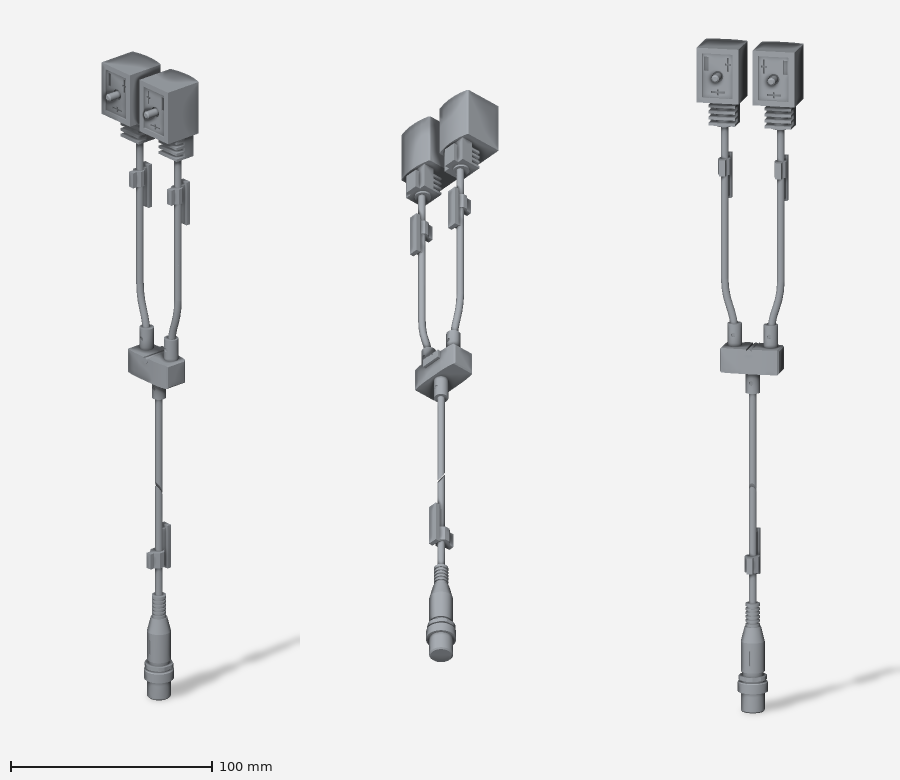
import cadquery as cq
import math

TOTAL_HEIGHT = 340.5
CABLE_DIAMETER = 3.7
CABLE_RADIUS = CABLE_DIAMETER / 2

PLUG_X = 14.3
PLUG_WIDTH = 21.5
PLUG_HEIGHT = 28.0
PLUG_FRONT_Y = -16.0
PLUG_CORNER_Y = 4.5
PLUG_CROWN_Y = 6.0
PLUG_EDGE_FILLET = 1.0
PLUG_BOTTOM_Z = TOTAL_HEIGHT - PLUG_HEIGHT
PLUG_CENTRE_Z = TOTAL_HEIGHT - PLUG_HEIGHT / 2
FRAME_WIDTH = 15.3
FRAME_HEIGHT = 22.5
FRAME_DEPTH = 1.0
CONTACT_FACE_Y = PLUG_FRONT_Y + FRAME_DEPTH
CONTACT_LENGTH = 7.0
CONTACT_THICKNESS = 1.0
CONTACT_CROSS = 3.0
CONTACT_DEPTH = 1.0
SIDE_CONTACT_X = 5.0
SIDE_CONTACT_Z = 332.2
SOCKET_X = 5.8
SOCKET_WIDTH = 2.0
EARTH_CONTACT_Z = 318.0
SCREW_Z = 326.0
SCREW_DIAMETER = 3.7
SCREW_TIP_Y = -21.5
SCREW_TIP_CHAMFER = 0.7
SCREW_HOLE_DIAMETER = 5.5

BOOT_WIDTH = 13.5
BOOT_HEIGHT = 13.5
BOOT_BLOCK_FRONT_Y = -1.7
BOOT_CORE_DIAMETER = 8.0
BOOT_CORE_Y = -0.7
BOOT_COLLAR_HEIGHT = 1.0
BOOT_RIB_FRONT_Y = -6.8
BOOT_RIB_THICKNESS = 1.5
BOOT_RIB_COUNT = 4
BOOT_RIB_PITCH = (BOOT_HEIGHT - BOOT_RIB_THICKNESS) / BOOT_RIB_COUNT
BOOT_RIDGE_WIDTH = 6.8
BOOT_RIDGE_HEIGHT = 10.5
BACK_Y = 7.0
BOOT_BOTTOM_Z = PLUG_BOTTOM_Z - BOOT_HEIGHT

SPLITTER_WIDTH = 30.0
SPLITTER_HEIGHT = 12.5
SPLITTER_TOP_Z = 186.2
SPLITTER_BOTTOM_Z = SPLITTER_TOP_Z - SPLITTER_HEIGHT
SPLITTER_FRONT_Y = -9.0
SPLITTER_BACK_Y = 5.5
SPLITTER_FLAT_WIDTH = 11.2
SPLITTER_END_DROP = 1.0
SPLITTER_END_CHAMFER = 0.7
SPLITTER_TAB_HEIGHT = 4.5
ROD_DIAMETER = 3.0
ROD_PROUD = 0.5
BUSHING_DIAMETER = 7.0
BUSHING_HEIGHT = 11.2
BRANCH_X = 9.2
PIP_DIAMETER = 2.2
PIP_DEPTH = 0.7
PIP_OFFSET = 5.8

BEND_TOP_Z = 220.0
BEND_BOTTOM_Z = 191.3

CUT_ANGLE = 60.0
BRANCH_CUT_Z = 241.0
TRUNK_CUT_Z = 112.5
TRUNK_GAP = 1.7

CLIP_PLATE_WIDTH = 5.0
CLIP_PLATE_LENGTH = 23.0
CLIP_PLATE_BACK_Y = 5.8
CLIP_PLATE_FRONT_Y = 3.5
CLIP_WEB_WIDTH = 3.0
CLIP_WEB_INSET = 1.5
CLAMP_HEIGHT = 8.0
CLAMP_TAB_WIDTH = 3.0
BRANCH_CLIP_BOTTOM_Z = 260.0
BRANCH_CLAMP_BOTTOM_Z = 273.0
BRANCH_CLAMP_SIZE = 5.8
BRANCH_CLAMP_Y = -0.7
BRANCH_CLAMP_TAB_Y = -5.8
TRUNK_CLIP_BOTTOM_Z = 69.0
TRUNK_CLAMP_BOTTOM_Z = 71.0
TRUNK_CLAMP_SIZE = 7.0
TRUNK_CLAMP_Y = -1.0
TRUNK_CLAMP_TAB_Y = -6.8

CONNECTOR_DIAMETER = 12.0
CONNECTOR_END_CHAMFER = 0.7
NUT_DIAMETER = 15.0
NUT_BOTTOM_Z = 10.2
NUT_TOP_Z = 15.3
NUT_EDGE_CHAMFER = 0.5
HEX_WIDTH = 13.5
HEX_DIAMETER = 14.3
HEX_BOTTOM_Z = 16.5
HEX_TOP_Z = 18.5
NECK_DIAMETER = 10.5
BODY_BOTTOM_Z = 20.5
BODY_TOP_Z = 35.7
CONE_TOP_Z = 43.2
CONE_TOP_DIAMETER = 8.0
RELIEF_DIAMETER = 7.0
RELIEF_TOP_Z = 55.0
RELIEF_GROOVE_DEPTH = 0.7
RELIEF_GROOVE_WIDTH = 1.0
RELIEF_GROOVE_COUNT = 5
MARK_WIDTH = 1.0
MARK_LENGTH = 7.8
MARK_DEPTH = 0.5
MARK_CENTRE_Z = 28.0


def box(x_range, y_range, z_range):
    """Box spanning the given ranges."""
    size = [high - low for low, high in (x_range, y_range, z_range)]
    corner = (x_range[0], y_range[0], z_range[0])
    return cq.Workplane("XY").box(*size, centered=False).translate(corner)


def upright_cylinder(diameter, bottom, top, x=0.0, y=0.0):
    return cq.Workplane("XY", origin=(x, y, bottom)).circle(diameter / 2).extrude(top - bottom)


def cylinder_along_y(diameter, front, back, x, z):
    return cq.Workplane("XZ", origin=(x, back, z)).circle(diameter / 2).extrude(back - front)


def slanted_half(x, z, side, rise_sign, large=136.0):
    """Block on one side of a slanted plane through (x, 0, z); side is +1 above, -1 below."""
    block = cq.Workplane("XY").box(large, large, large).translate((0, 0, side * large / 2))
    return block.rotate((0, 0, 0), (1, 0, 0), rise_sign * CUT_ANGLE).translate((x, 0, z))


def plug_housing():
    half_width = PLUG_WIDTH / 2
    return (
        cq.Workplane("XY", origin=(0, 0, PLUG_BOTTOM_Z))
        .moveTo(-half_width, PLUG_FRONT_Y)
        .lineTo(half_width, PLUG_FRONT_Y)
        .lineTo(half_width, PLUG_CORNER_Y)
        .threePointArc((0, PLUG_CROWN_Y), (-half_width, PLUG_CORNER_Y))
        .close()
        .extrude(PLUG_HEIGHT)
        .edges("|Z")
        .edges(">Y")
        .fillet(PLUG_EDGE_FILLET)
    )


def face_recess(x, z, width, height, front, depth):
    """Cutter for a rectangular recess going back from the plane y = front."""
    return cq.Workplane("XZ", origin=(x, front, z)).rect(width, height).extrude(-depth)


def contact_recesses():
    """Side blade, earth blade and side socket on the contact face."""
    blades = [
        (SIDE_CONTACT_X, SIDE_CONTACT_Z, CONTACT_THICKNESS, CONTACT_LENGTH),
        (SIDE_CONTACT_X, SIDE_CONTACT_Z, CONTACT_CROSS, CONTACT_THICKNESS),
        (0, EARTH_CONTACT_Z, CONTACT_LENGTH, CONTACT_THICKNESS),
        (0, EARTH_CONTACT_Z, CONTACT_THICKNESS, CONTACT_CROSS),
        (-SOCKET_X, SIDE_CONTACT_Z, SOCKET_WIDTH, CONTACT_LENGTH),
    ]
    recesses = cq.Workplane("XY")
    for x, z, width, height in blades:
        recesses = recesses.union(face_recess(x, z, width, height, CONTACT_FACE_Y, CONTACT_DEPTH))
    return recesses


def cable_boot():
    half_width = BOOT_WIDTH / 2
    sides = (-half_width, half_width)
    block = box(sides, (BOOT_BLOCK_FRONT_Y, PLUG_CORNER_Y), (BOOT_BOTTOM_Z, PLUG_BOTTOM_Z))
    collar_bottom = BOOT_BOTTOM_Z - BOOT_COLLAR_HEIGHT
    core = upright_cylinder(BOOT_CORE_DIAMETER, collar_bottom, PLUG_BOTTOM_Z, y=BOOT_CORE_Y)
    ridge = box(
        (-BOOT_RIDGE_WIDTH / 2, BOOT_RIDGE_WIDTH / 2),
        (BOOT_BLOCK_FRONT_Y, BACK_Y),
        (BOOT_BOTTOM_Z, BOOT_BOTTOM_Z + BOOT_RIDGE_HEIGHT),
    )
    boot = block.union(core).union(ridge)
    for index in range(BOOT_RIB_COUNT):
        bottom = BOOT_BOTTOM_Z + index * BOOT_RIB_PITCH
        rib = box(sides, (BOOT_RIB_FRONT_Y, BOOT_BLOCK_FRONT_Y), (bottom, bottom + BOOT_RIB_THICKNESS))
        boot = boot.union(rib)
    return boot


def make_plug():
    """Plug centred on x = 0, with its boot, screw and the upper part of its branch cable."""
    frame = face_recess(0, PLUG_CENTRE_Z, FRAME_WIDTH, FRAME_HEIGHT, PLUG_FRONT_Y, FRAME_DEPTH)
    hole_back = CONTACT_FACE_Y + CONTACT_DEPTH
    screw_hole = cylinder_along_y(SCREW_HOLE_DIAMETER, PLUG_FRONT_Y, hole_back, 0, SCREW_Z)
    screw = cylinder_along_y(SCREW_DIAMETER, SCREW_TIP_Y, hole_back, 0, SCREW_Z)
    screw = screw.faces("<Y").chamfer(SCREW_TIP_CHAMFER)
    cable = upright_cylinder(CABLE_DIAMETER, BEND_TOP_Z, BOOT_BOTTOM_Z)
    cable = cable.intersect(slanted_half(0, BRANCH_CUT_Z, 1, 1))
    plug = plug_housing().cut(frame).cut(contact_recesses()).cut(screw_hole)
    return plug.union(screw).union(cable_boot()).union(cable)


def splitter_block():
    half_width = SPLITTER_WIDTH / 2
    half_flat = SPLITTER_FLAT_WIDTH / 2
    front_end = SPLITTER_FRONT_Y + SPLITTER_END_DROP
    back_end = SPLITTER_BACK_Y - SPLITTER_END_DROP
    middle_x = (half_width + half_flat) / 2
    front_middle = SPLITTER_FRONT_Y + SPLITTER_END_DROP / 4
    back_middle = SPLITTER_BACK_Y - SPLITTER_END_DROP / 4
    block = (
        cq.Workplane("XY", origin=(0, 0, SPLITTER_BOTTOM_Z))
        .moveTo(-half_flat, SPLITTER_FRONT_Y)
        .lineTo(half_flat, SPLITTER_FRONT_Y)
        .threePointArc((middle_x, front_middle), (half_width, front_end))
        .lineTo(half_width, back_end)
        .threePointArc((middle_x, back_middle), (half_flat, SPLITTER_BACK_Y))
        .lineTo(-half_flat, SPLITTER_BACK_Y)
        .threePointArc((-middle_x, back_middle), (-half_width, back_end))
        .lineTo(-half_width, front_end)
        .threePointArc((-middle_x, front_middle), (-half_flat, SPLITTER_FRONT_Y))
        .close()
        .extrude(SPLITTER_HEIGHT)
        .faces("<X or >X")
        .chamfer(SPLITTER_END_CHAMFER)
    )
    tab = box(
        (-half_flat, half_flat),
        (SPLITTER_BACK_Y - SPLITTER_END_DROP, BACK_Y),
        (SPLITTER_TOP_Z - SPLITTER_TAB_HEIGHT, SPLITTER_TOP_Z),
    )
    return block.union(tab)


def seat_rod(block):
    """Lay a rod along Y in a channel in the top of the block, level with the top."""
    radius = ROD_DIAMETER / 2
    axis_z = SPLITTER_TOP_Z - radius
    channel = box((-radius, radius), (SPLITTER_FRONT_Y, BACK_Y), (axis_z, SPLITTER_TOP_Z))
    rod = cylinder_along_y(ROD_DIAMETER, SPLITTER_FRONT_Y - ROD_PROUD, BACK_Y, 0, axis_z)
    return block.cut(channel).union(rod)


def bushing(x, bottom, pip_z):
    """Cable bushing with a small blind hole at front and back."""
    sleeve = upright_cylinder(BUSHING_DIAMETER, bottom, bottom + BUSHING_HEIGHT, x)
    radius = BUSHING_DIAMETER / 2
    for start in (-radius, radius - PIP_DEPTH):
        sleeve = sleeve.cut(cylinder_along_y(PIP_DIAMETER, start, start + PIP_DEPTH, x, pip_z))
    return sleeve


def branch_cable(side):
    """Cable from a bushing up through an S-bend to the slanted end below the plug."""
    half_shift = (PLUG_X - BRANCH_X) / 2
    half_rise = (BEND_TOP_Z - BEND_BOTTOM_Z) / 2
    bend_radius = (half_shift**2 + half_rise**2) / (2 * half_shift)
    half_turn = math.atan2(half_shift, half_rise)
    mid_shift = bend_radius * (1 - math.cos(half_turn))
    mid_rise = bend_radius * math.sin(half_turn)
    middle = (side * (BRANCH_X + half_shift), BEND_BOTTOM_Z + half_rise)
    path = (
        cq.Workplane("XZ")
        .moveTo(side * BRANCH_X, BEND_BOTTOM_Z)
        .threePointArc((side * (BRANCH_X + mid_shift), BEND_BOTTOM_Z + mid_rise), middle)
        .threePointArc((side * (PLUG_X - mid_shift), BEND_TOP_Z - mid_rise), (side * PLUG_X, BEND_TOP_Z))
    )
    start = cq.Workplane("XY", origin=(side * BRANCH_X, 0, BEND_BOTTOM_Z))
    bend = start.circle(CABLE_RADIUS).sweep(path)
    straight = upright_cylinder(CABLE_DIAMETER, BEND_TOP_Z, PLUG_BOTTOM_Z, side * PLUG_X)
    straight = straight.intersect(slanted_half(side * PLUG_X, BRANCH_CUT_Z, -1, 1))
    return bend.union(straight)


def make_splitter():
    splitter = seat_rod(splitter_block())
    for side in (-1, 1):
        splitter = splitter.union(bushing(side * BRANCH_X, SPLITTER_TOP_Z, SPLITTER_TOP_Z + PIP_OFFSET))
        splitter = splitter.union(branch_cable(side))
    trunk_bushing_bottom = SPLITTER_BOTTOM_Z - BUSHING_HEIGHT
    splitter = splitter.union(bushing(0, trunk_bushing_bottom, SPLITTER_BOTTOM_Z - PIP_OFFSET))
    trunk = upright_cylinder(CABLE_DIAMETER, CONE_TOP_Z, trunk_bushing_bottom)
    trunk = trunk.intersect(slanted_half(0, TRUNK_CUT_Z + TRUNK_GAP / 2, 1, -1))
    return splitter.union(trunk)


def connector_body():
    """Turned body with chamfered end, coupling nut, neck, barrel and cone."""
    barrel = CONNECTOR_DIAMETER / 2
    nut = NUT_DIAMETER / 2
    neck = NECK_DIAMETER / 2
    profile = [
        (0, 0),
        (barrel - CONNECTOR_END_CHAMFER, 0),
        (barrel, CONNECTOR_END_CHAMFER),
        (barrel, NUT_BOTTOM_Z),
        (nut, NUT_BOTTOM_Z),
        (nut, NUT_TOP_Z - NUT_EDGE_CHAMFER),
        (nut - NUT_EDGE_CHAMFER, NUT_TOP_Z),
        (barrel, NUT_TOP_Z),
        (barrel, HEX_BOTTOM_Z),
        (neck, HEX_BOTTOM_Z),
        (neck, BODY_BOTTOM_Z),
        (barrel, BODY_BOTTOM_Z),
        (barrel, BODY_TOP_Z),
        (CONE_TOP_DIAMETER / 2, CONE_TOP_Z),
        (0, CONE_TOP_Z),
    ]
    return cq.Workplane("XZ").polyline(profile).close().revolve(360, (0, 0), (0, 1))


def hexagon_ring():
    """Hexagon with corners at front and back, turned down to a round outline."""
    across_corners = HEX_WIDTH / math.cos(math.pi / 6)
    height = HEX_TOP_Z - HEX_BOTTOM_Z
    hexagon = cq.Workplane("XY", origin=(0, 0, HEX_BOTTOM_Z)).polygon(6, across_corners).extrude(height)
    hexagon = hexagon.rotate((0, 0, 0), (0, 0, 1), 90)
    return hexagon.intersect(upright_cylinder(HEX_DIAMETER, HEX_BOTTOM_Z, HEX_TOP_Z))


def strain_relief():
    relief = upright_cylinder(RELIEF_DIAMETER, CONE_TOP_Z, RELIEF_TOP_Z)
    pitch = (RELIEF_TOP_Z - CONE_TOP_Z) / (RELIEF_GROOVE_COUNT + 1)
    root_diameter = RELIEF_DIAMETER - 2 * RELIEF_GROOVE_DEPTH
    for index in range(RELIEF_GROOVE_COUNT):
        bottom = CONE_TOP_Z + (index + 1) * pitch - RELIEF_GROOVE_WIDTH / 2
        groove = (
            cq.Workplane("XY", origin=(0, 0, bottom))
            .circle(RELIEF_DIAMETER)
            .circle(root_diameter / 2)
            .extrude(RELIEF_GROOVE_WIDTH)
        )
        relief = relief.cut(groove)
    return relief


def make_connector():
    front = -CONNECTOR_DIAMETER / 2
    mark = (
        cq.Workplane("XZ", origin=(0, front + MARK_DEPTH, MARK_CENTRE_Z))
        .slot2D(MARK_LENGTH, MARK_WIDTH, 90)
        .extrude(MARK_DEPTH)
    )
    cable = upright_cylinder(CABLE_DIAMETER, RELIEF_TOP_Z, SPLITTER_BOTTOM_Z)
    cable = cable.intersect(slanted_half(0, TRUNK_CUT_Z - TRUNK_GAP / 2, -1, -1))
    return connector_body().cut(mark).union(hexagon_ring()).union(strain_relief()).union(cable)


def make_clip(x, bottom, clamp_bottom, clamp_size, clamp_y, tab_y):
    """Label plate held to a cable by an octagonal clamp with a tab at the front."""
    half_plate = CLIP_PLATE_WIDTH / 2
    half_web = CLIP_WEB_WIDTH / 2
    half_tab = CLAMP_TAB_WIDTH / 2
    top = bottom + CLIP_PLATE_LENGTH
    clamp_top = clamp_bottom + CLAMP_HEIGHT
    plate = box((-half_plate, half_plate), (CLIP_PLATE_FRONT_Y, CLIP_PLATE_BACK_Y), (bottom, top))
    web = box(
        (-half_web, half_web), (0, CLIP_PLATE_FRONT_Y), (bottom + CLIP_WEB_INSET, top - CLIP_WEB_INSET)
    )
    across_corners = clamp_size / math.cos(math.pi / 8)
    clamp = cq.Workplane("XY").polygon(8, across_corners).extrude(CLAMP_HEIGHT)
    clamp = clamp.rotate((0, 0, 0), (0, 0, 1), 22.5).translate((0, clamp_y, clamp_bottom))
    tab = box((-half_tab, half_tab), (tab_y, 0), (clamp_bottom, clamp_top))
    bore = upright_cylinder(CABLE_DIAMETER, bottom, top)
    return plate.union(web).union(clamp).union(tab).cut(bore).translate((x, 0, 0))


left_plug = make_plug().translate((-PLUG_X, 0, 0))
right_plug = make_plug().mirror("YZ").translate((PLUG_X, 0, 0))
plugs = [left_plug, right_plug]
splitter = make_splitter()
connector = make_connector()
branch_clips = [
    make_clip(
        side * PLUG_X,
        BRANCH_CLIP_BOTTOM_Z,
        BRANCH_CLAMP_BOTTOM_Z,
        BRANCH_CLAMP_SIZE,
        BRANCH_CLAMP_Y,
        BRANCH_CLAMP_TAB_Y,
    )
    for side in (-1, 1)
]
trunk_clip = make_clip(
    0,
    TRUNK_CLIP_BOTTOM_Z,
    TRUNK_CLAMP_BOTTOM_Z,
    TRUNK_CLAMP_SIZE,
    TRUNK_CLAMP_Y,
    TRUNK_CLAMP_TAB_Y,
)

bodies = [*plugs, splitter, connector, *branch_clips, trunk_clip]
result = cq.Compound.makeCompound([body.val() for body in bodies])